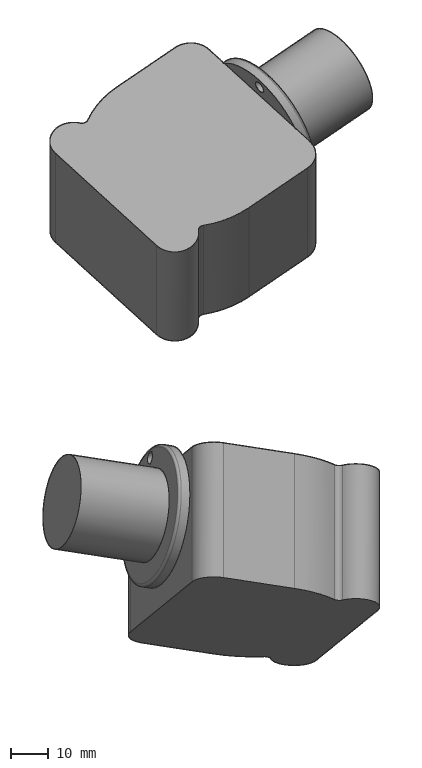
import cadquery as cq
import math

body_width = 53.6
body_height = 38.1
corner_radius = 6.3
notch_radius = 1.65
shank_diameter = 25.4
flange_diameter = 38.1
flange_thickness = 3.2
flange_edge_radius = 0.7
hole_diameter = 3.3
hole_offset = 16.3
total_length = 82.2

half_width = body_width / 2
lobe_center = half_width - corner_radius
shank_length = total_length - body_width - flange_thickness
axis_height = body_height - shank_diameter / 2
flange_rear = half_width + flange_thickness


def polar(radius, angle, center=(0, 0)):
    """Point at a given radius and angle (radians) from a center."""
    return (center[0] + radius * math.cos(angle), center[1] + radius * math.sin(angle))


def mirrored(point):
    return (-point[0], point[1])


def make_body():
    """Block with rounded rear corners, a waist arc on each side and two front lobes."""
    lobe = (lobe_center, -lobe_center)
    lobe_distance = math.hypot(*lobe)
    waist_side = half_width + notch_radius
    lobe_side = corner_radius + notch_radius
    cosine = (waist_side**2 + lobe_distance**2 - lobe_side**2) / (2 * waist_side * lobe_distance)
    notch_angle = -math.pi / 4 + math.acos(cosine)
    notch = polar(waist_side, notch_angle)
    lobe_angle = math.atan2(notch[1] - lobe[1], notch[0] - lobe[0])

    waist_mid = polar(half_width, notch_angle / 2)
    waist_end = polar(half_width, notch_angle)
    notch_mid = polar(notch_radius, (notch_angle + lobe_angle + 2 * math.pi) / 2, notch)
    lobe_start = polar(corner_radius, lobe_angle, lobe)
    lobe_mid = polar(corner_radius, (lobe_angle - math.pi / 2) / 2, lobe)
    lobe_end = (lobe_center, -half_width)
    rear_start = (lobe_center, half_width)
    rear_mid = polar(corner_radius, math.pi / 4, (lobe_center, lobe_center))
    rear_end = (half_width, lobe_center)

    outline = (
        cq.Workplane("XY")
        .moveTo(*rear_start)
        .threePointArc(rear_mid, rear_end)
        .lineTo(half_width, 0)
        .threePointArc(waist_mid, waist_end)
        .threePointArc(notch_mid, lobe_start)
        .threePointArc(lobe_mid, lobe_end)
        .lineTo(*mirrored(lobe_end))
        .threePointArc(mirrored(lobe_mid), mirrored(lobe_start))
        .threePointArc(mirrored(notch_mid), mirrored(waist_end))
        .threePointArc(mirrored(waist_mid), (-half_width, 0))
        .lineTo(*mirrored(rear_end))
        .threePointArc(mirrored(rear_mid), mirrored(rear_start))
        .close()
    )
    return outline.extrude(body_height)


def rear_disc(diameter, start_y, length, height=axis_height):
    """Cylinder along +Y, on the middle plane of the part."""
    plane = cq.Plane(origin=(0, start_y, height), xDir=(1, 0, 0), normal=(0, 1, 0))
    return cq.Workplane(plane).circle(diameter / 2).extrude(length)


def make_flange():
    """Disc with a rounded rear edge and a small hole above the body."""
    disc = rear_disc(flange_diameter, half_width, flange_thickness)
    disc = disc.faces(">Y").edges().fillet(flange_edge_radius)
    hole = rear_disc(hole_diameter, half_width, flange_thickness, axis_height + hole_offset)
    return disc.cut(hole)


shank = rear_disc(shank_diameter, flange_rear, shank_length)

result = make_body().union(make_flange()).union(shank)